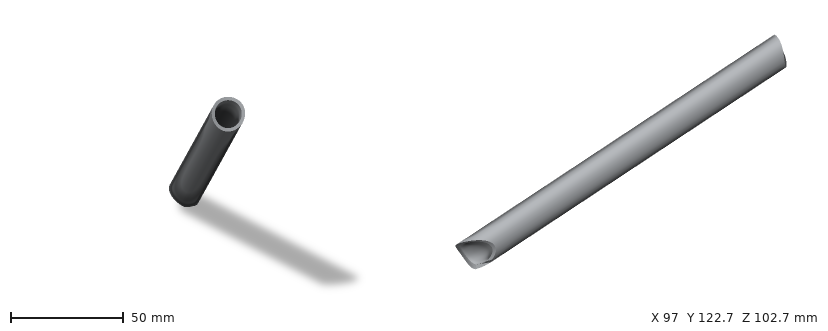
import cadquery as cq
import math

OUTER_RADIUS = 7.5
WALL = 1.5
INNER_RADIUS = OUTER_RADIUS - WALL
AXIS_POINT = cq.Vector(0.6, -2.6, 0)
AXIS_DIRECTION = cq.Vector(0.922, -1.203, 1).normalized()
STOCK_HALF_LENGTH = 110.3

UPPER_SADDLE_RADIUS = 18.0
UPPER_SADDLE_DISTANCE = 98.1
UPPER_SADDLE_LEAN = 14.3

LOWER_SADDLE_RADIUS = 10.0
LOWER_SADDLE_X = -47.2
LOWER_SADDLE_Z = -52.6

TIP_POINT = cq.Vector(-37.5, 57.4, -51.5)
TIP_NORMAL = cq.Vector(-0.91, -0.29, -0.3)
TIP_TRIM_TOP_Z = -49.6

END_BLOCK_SIZE = 49.0

CUTTER_HALF_LENGTH = 122.6


def rod(center, direction, radius, half_length):
    """Solid cylinder centred on a point."""
    start = center - direction * half_length
    return cq.Workplane(cq.Solid.makeCylinder(radius, 2 * half_length, start, direction))


def tube_blank():
    outer = rod(AXIS_POINT, AXIS_DIRECTION, OUTER_RADIUS, STOCK_HALF_LENGTH)
    bore = rod(AXIS_POINT, AXIS_DIRECTION, INNER_RADIUS, STOCK_HALF_LENGTH)
    return outer.cut(bore)


def beyond(point, direction):
    """Block that fills the space beyond a plane facing the given direction."""
    plane = cq.Plane(origin=point.toTuple(), normal=direction.toTuple())
    return cq.Workplane(plane).rect(END_BLOCK_SIZE, END_BLOCK_SIZE).extrude(END_BLOCK_SIZE)


def cut_upper_end(tube):
    sideways = cq.Vector(0, 0, 1).cross(AXIS_DIRECTION).normalized()
    upward = AXIS_DIRECTION.cross(sideways)
    lean = math.radians(UPPER_SADDLE_LEAN)
    saddle_direction = upward * math.cos(lean) + AXIS_DIRECTION * math.sin(lean)
    center = AXIS_POINT + AXIS_DIRECTION * UPPER_SADDLE_DISTANCE
    saddle = rod(center, saddle_direction, UPPER_SADDLE_RADIUS, CUTTER_HALF_LENGTH)
    return tube.cut(saddle).cut(beyond(center, AXIS_DIRECTION))


def cut_lower_end(tube):
    center = cq.Vector(LOWER_SADDLE_X, 0, LOWER_SADDLE_Z)
    saddle = rod(center, cq.Vector(0, 1, 0), LOWER_SADDLE_RADIUS, CUTTER_HALF_LENGTH)
    distance = (LOWER_SADDLE_X - AXIS_POINT.x) / AXIS_DIRECTION.x
    waste_start = AXIS_POINT + AXIS_DIRECTION * distance
    return tube.cut(saddle).cut(beyond(waste_start, AXIS_DIRECTION * -1))


def trim_lower_tip(tube):
    trim_top = cq.Vector(TIP_POINT.x, TIP_POINT.y, TIP_TRIM_TOP_Z)
    below_top = beyond(trim_top, cq.Vector(0, 0, -1))
    return tube.cut(beyond(TIP_POINT, TIP_NORMAL).intersect(below_top))


result = trim_lower_tip(cut_lower_end(cut_upper_end(tube_blank())))